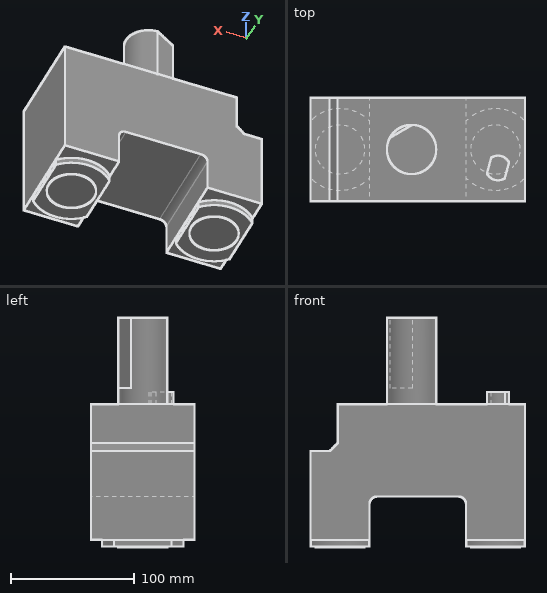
import cadquery as cq

body_length = 174.0
body_width = 84.0
body_height = 110.0
stem_to_left_end = 82.0

step_length = 22.0
step_height = 72.0
step_chamfer = 6.35

leg_length = 48.0
channel_depth = 35.0
channel_radius = 6.0

stem_diameter = 40.0
stem_height = 70.0
stem_flat_offset = 17.0
stem_flat_start = 13.0
stem_flat_angle = 120.0

pin_diameter = 20.0
pin_flat_width = 15.0
pin_height = 10.0
pin_angle = -15.0
pin_x = 70.0
pin_y = -15.0

foot_diameter = 66.5
foot_flat_width = 47.5
foot_height = 5.5
foot_disc_diameter = 40.0
foot_disc_height = 0.5

left_end = -stem_to_left_end
right_end = left_end + body_length
underside = -body_height
ledge_top = underside + step_height
channel_top = underside + channel_depth
channel_left = left_end + leg_length
channel_right = right_end - leg_length
foot_centers_x = (left_end + leg_length / 2, right_end - leg_length / 2)


def make_body():
    """Stepped block with a round-cornered channel between its two legs."""
    wall = left_end + step_length
    block = (
        cq.Workplane("XZ")
        .moveTo(left_end, underside)
        .lineTo(left_end, ledge_top)
        .lineTo(wall - step_chamfer, ledge_top)
        .lineTo(wall, ledge_top + step_chamfer)
        .lineTo(wall, 0)
        .lineTo(right_end, 0)
        .lineTo(right_end, underside)
        .lineTo(channel_right, underside)
        .lineTo(channel_right, channel_top - channel_radius)
        .radiusArc((channel_right - channel_radius, channel_top), -channel_radius)
        .lineTo(channel_left + channel_radius, channel_top)
        .radiusArc((channel_left, channel_top - channel_radius), -channel_radius)
        .lineTo(channel_left, underside)
        .close()
        .extrude(body_width / 2, both=True)
    )
    return block


def make_stem():
    """Round stem with one flat running down from its top."""
    stem = cq.Workplane("XY").circle(stem_diameter / 2).extrude(stem_height)
    flat_cutter = (
        cq.Workplane("XY")
        .box(stem_diameter, stem_diameter, stem_height, centered=(False, True, False))
        .translate((stem_flat_offset, 0, stem_flat_start))
        .rotate((0, 0, 0), (0, 0, 1), stem_flat_angle)
    )
    return stem.cut(flat_cutter)


def double_flat_cylinder(diameter, flat_width, height):
    """Upright cylinder trimmed by two parallel flats that face +X and -X."""
    cylinder = cq.Workplane("XY").circle(diameter / 2).extrude(height)
    band = cq.Workplane("XY").box(flat_width, diameter, height, centered=(True, True, False))
    return cylinder.intersect(band)


def make_pin():
    """Turned locating pin on top of the body."""
    pin = double_flat_cylinder(pin_diameter, pin_flat_width, pin_height)
    return pin.rotate((0, 0, 0), (0, 0, 1), pin_angle).translate((pin_x, pin_y, 0))


def make_foot(center_x):
    """Double-flat pad under a leg, with a thin round disc below it."""
    pad = double_flat_cylinder(foot_diameter, foot_flat_width, foot_height)
    disc = cq.Workplane("XY").circle(foot_disc_diameter / 2).extrude(-foot_disc_height)
    return pad.union(disc).translate((center_x, 0, underside - foot_height))


result = make_body().union(make_stem()).union(make_pin())
for foot_center_x in foot_centers_x:
    result = result.union(make_foot(foot_center_x))